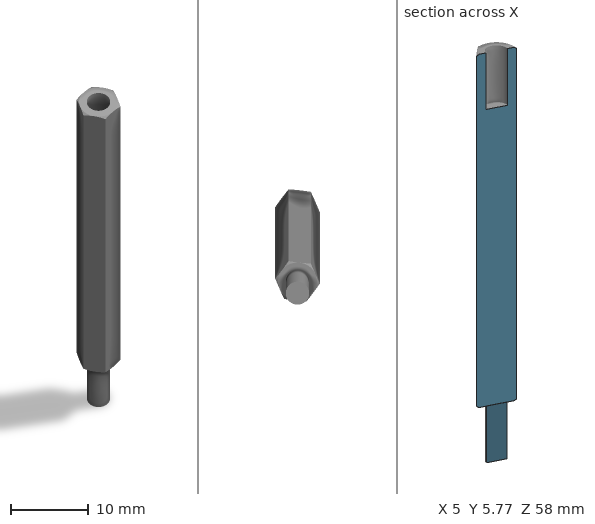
import cadquery as cq
import math

TOTAL_LENGTH = 58.0
STUD_LENGTH = 8.0
THREAD_DIAMETER = 3.0
ACROSS_FLATS = 5.0
END_FACE_DIAMETER = ACROSS_FLATS
CHAMFER_ANGLE = 30.0

HEX_LENGTH = TOTAL_LENGTH - STUD_LENGTH
STUD_BOTTOM = -TOTAL_LENGTH / 2
HEX_BOTTOM = STUD_BOTTOM + STUD_LENGTH
HEX_TOP = HEX_BOTTOM + HEX_LENGTH
ACROSS_CORNERS = ACROSS_FLATS / math.cos(math.radians(30))
BORE_DEPTH = STUD_LENGTH


def make_chamfer_envelope():
    """Round bar with coned ends that trims the hexagon's corners."""
    end_radius = END_FACE_DIAMETER / 2
    outer_radius = ACROSS_CORNERS / 2
    cone_height = (outer_radius - end_radius) * math.tan(math.radians(CHAMFER_ANGLE))
    return (
        cq.Workplane("XZ")
        .moveTo(0, HEX_BOTTOM)
        .lineTo(end_radius, HEX_BOTTOM)
        .lineTo(outer_radius, HEX_BOTTOM + cone_height)
        .lineTo(outer_radius, HEX_TOP - cone_height)
        .lineTo(end_radius, HEX_TOP)
        .lineTo(0, HEX_TOP)
        .close()
        .revolve(360, (0, 0), (0, 1))
    )


def make_spacer():
    """Hexagonal bar, corners on the Y axis, with a blind bore in its top."""
    bar = (
        cq.Workplane("XY")
        .workplane(offset=HEX_BOTTOM)
        .transformed(rotate=(0, 0, 90))
        .polygon(6, ACROSS_CORNERS)
        .extrude(HEX_LENGTH)
    )
    bore = (
        cq.Workplane("XY")
        .workplane(offset=HEX_TOP - BORE_DEPTH)
        .circle(THREAD_DIAMETER / 2)
        .extrude(BORE_DEPTH)
    )
    return bar.intersect(make_chamfer_envelope()).cut(bore)


def make_stud():
    """Plain round stud seated against the spacer's lower face."""
    return (
        cq.Workplane("XY")
        .workplane(offset=STUD_BOTTOM)
        .circle(THREAD_DIAMETER / 2)
        .extrude(STUD_LENGTH)
    )


spacer = make_spacer()
stud = make_stud()
result = cq.Compound.makeCompound([spacer.val(), stud.val()])